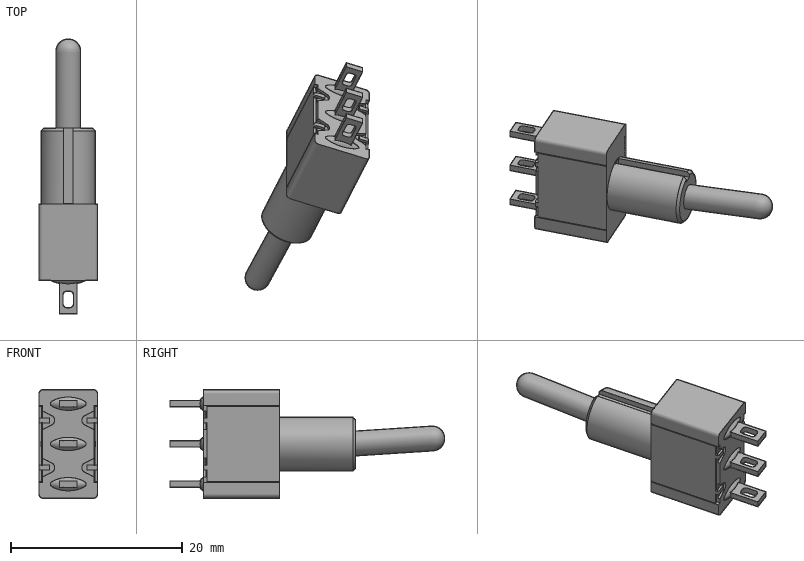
import cadquery as cq
import math


BODY_WIDTH = 6.86
BODY_LENGTH = 8.89
BODY_HEIGHT = 12.7
BODY_EDGE_RADIUS = 0.5
FRAME_FRONT_THICKNESS = 0.1
CHANNEL_DEPTH = 0.4
CHANNEL_HEIGHT = 9.0
FRAME_GAP = 0.1
SIDE_PLATE_THICKNESS = CHANNEL_DEPTH - FRAME_GAP
SIDE_PLATE_HEIGHT = CHANNEL_HEIGHT - 2 * FRAME_GAP
SIDE_PLATE_REAR = 0.4

TAB_SPACING = 5.53
TAB_WIDTH = 0.58
TAB_REACH = 1.25
WELL_DEPTH = SIDE_PLATE_THICKNESS
WELL_REACH = 1.84
WELL_TIP_RADIUS = 0.6
WELL_MOUTH = 2.2

BUSHING_DIAMETER = 6.35
BUSHING_LENGTH = 8.89
BUSHING_CHAMFER = 0.33
KEYWAY_WIDTH = 1.1
KEYWAY_DEPTH = 0.75
KEYWAY_FRONT_GAP = 0.1

LEVER_DIAMETER = 2.92
LEVER_TILT = 3.7
LEVER_PIVOT_Y = 16.9

OVERALL_LENGTH = 32.12
TERMINAL_SPACING = 4.7
TERMINAL_LENGTH = 3.93
TERMINAL_WIDTH = 2.05
TERMINAL_THICKNESS = 0.76
EYE_WIDTH = 1.18
EYE_LENGTH = 1.88
EYE_CORNER_RADIUS = 0.37
EYE_END_MARGIN = 0.75

BEAD_LENGTH = 4.2
BEAD_WIDTH = 1.56
BEAD_RISE = 0.5

HOUSING_LENGTH = BODY_LENGTH - FRAME_FRONT_THICKNESS
BUSHING_FRONT = BODY_LENGTH + BUSHING_LENGTH
SIDES = (-1, 1)


def block(x_range, y_range, z_range):
    """Axis-aligned box from its limits on each axis."""
    sizes = [high - low for low, high in (x_range, y_range, z_range)]
    corner = (x_range[0], y_range[0], z_range[0])
    return cq.Workplane("XY").box(*sizes, centered=False).translate(corner)


def centred(size, middle=0.0):
    """Limits of a span of the given size about its middle."""
    return (middle - size / 2, middle + size / 2)


def mirrored(shape):
    """The shape together with its mirror image across the YZ plane."""
    return shape.union(shape.mirror("YZ"))


def make_rounded_block(y_low, y_high):
    """Slice of the body outline, rounded at its four long edges."""
    return (
        cq.Workplane("XZ", origin=(0, y_low, 0))
        .rect(BODY_WIDTH, BODY_HEIGHT)
        .extrude(y_low - y_high)
        .edges("|Y")
        .fillet(BODY_EDGE_RADIUS)
    )


def make_housing():
    """Rounded housing with a shallow channel down each side for the frame."""
    channel = block(
        (-BODY_WIDTH / 2, -BODY_WIDTH / 2 + CHANNEL_DEPTH),
        (0, HOUSING_LENGTH),
        centred(CHANNEL_HEIGHT),
    )
    return make_rounded_block(0, HOUSING_LENGTH).cut(mirrored(channel))


def make_well(z):
    """Round-nosed wedge pocket in the terminal face, open to the -X channel."""
    mouth_x = -BODY_WIDTH / 2 + CHANNEL_DEPTH
    nose_x = -BODY_WIDTH / 2 + WELL_REACH
    arc_x = nose_x - WELL_TIP_RADIUS
    half_mouth = WELL_MOUTH / 2
    offset = arc_x - mouth_x
    corner_distance = math.hypot(offset, half_mouth)
    tangent_angle = math.atan2(half_mouth, -offset) - math.acos(WELL_TIP_RADIUS / corner_distance)
    tangent_x = arc_x + WELL_TIP_RADIUS * math.cos(tangent_angle)
    tangent_z = WELL_TIP_RADIUS * math.sin(tangent_angle)
    return (
        cq.Workplane("XZ")
        .moveTo(mouth_x, z - half_mouth)
        .lineTo(tangent_x, z - tangent_z)
        .threePointArc((nose_x, z), (tangent_x, z + tangent_z))
        .lineTo(mouth_x, z + half_mouth)
        .close()
        .extrude(-WELL_DEPTH)
    )


def make_side_plate():
    """Frame plate floating in the -X channel, joined to the front of the body."""
    outer_x = -BODY_WIDTH / 2
    return block(
        (outer_x, outer_x + SIDE_PLATE_THICKNESS),
        (SIDE_PLATE_REAR, HOUSING_LENGTH),
        centred(SIDE_PLATE_HEIGHT),
    )


def make_tab(z):
    """Tongue of the -X side plate, bent inward over the floor of its well."""
    outer_x = -BODY_WIDTH / 2
    bend_x = outer_x + SIDE_PLATE_THICKNESS
    bend_run = SIDE_PLATE_THICKNESS * math.sqrt(0.5)
    return (
        cq.Workplane("XY", origin=(0, 0, z))
        .moveTo(outer_x, SIDE_PLATE_REAR)
        .lineTo(outer_x, WELL_DEPTH)
        .threePointArc(
            (bend_x - bend_run, WELL_DEPTH - bend_run),
            (bend_x, 0),
        )
        .lineTo(outer_x + TAB_REACH, 0)
        .lineTo(outer_x + TAB_REACH, WELL_DEPTH)
        .lineTo(bend_x, WELL_DEPTH)
        .lineTo(bend_x, SIDE_PLATE_REAR)
        .close()
        .extrude(TAB_WIDTH / 2, both=True)
    )


def make_bushing():
    """Chamfered cylinder with a flat-bottomed keyway along its top."""
    cylinder = (
        cq.Workplane("XZ", origin=(0, BODY_LENGTH, 0))
        .circle(BUSHING_DIAMETER / 2)
        .extrude(-BUSHING_LENGTH)
        .faces(">Y")
        .chamfer(BUSHING_CHAMFER)
    )
    top = BUSHING_DIAMETER / 2
    keyway = block(
        centred(KEYWAY_WIDTH),
        (BODY_LENGTH + KEYWAY_FRONT_GAP, BUSHING_FRONT),
        (top - KEYWAY_DEPTH, top),
    )
    return cylinder.cut(keyway)


def make_lever():
    """Round rod with a hemispherical end, tilted up about its pivot."""
    radius = LEVER_DIAMETER / 2
    tilt = math.radians(LEVER_TILT)
    tip_y = OVERALL_LENGTH - TERMINAL_LENGTH
    rod_length = (tip_y - radius - LEVER_PIVOT_Y) / math.cos(tilt)
    profile = (
        cq.Workplane("XY")
        .lineTo(radius, 0)
        .lineTo(radius, rod_length)
        .radiusArc((0, rod_length + radius), -radius)
        .close()
    )
    upright = profile.revolve(360, (0, 0), (0, 1))
    tilted = upright.rotate((0, 0, 0), (1, 0, 0), LEVER_TILT)
    return tilted.translate((0, LEVER_PIVOT_Y, 0))


def make_terminal(z):
    """Flat solder lug with a rounded eye."""
    lug = block(centred(TERMINAL_WIDTH), (-TERMINAL_LENGTH, 0), centred(TERMINAL_THICKNESS, z))
    eye_y = -TERMINAL_LENGTH + EYE_END_MARGIN + EYE_LENGTH / 2
    eye = (
        cq.Workplane("XY")
        .box(EYE_WIDTH, EYE_LENGTH, TERMINAL_THICKNESS)
        .edges("|Z")
        .fillet(EYE_CORNER_RADIUS)
        .translate((0, eye_y, z))
    )
    return lug.cut(eye)


def make_bead(z):
    """Cap of a spindle whose axis lies along X below the terminal face."""
    half_length = BEAD_LENGTH / 2
    half_width = BEAD_WIDTH / 2
    middle_radius = (half_width**2 + BEAD_RISE**2) / (2 * BEAD_RISE)
    axis_depth = middle_radius - BEAD_RISE
    spindle = (
        cq.Workplane("XY")
        .moveTo(-half_length, 0)
        .lineTo(-half_length, -axis_depth)
        .threePointArc((0, -middle_radius), (half_length, -axis_depth))
        .lineTo(half_length, 0)
        .close()
        .revolve(360, (0, 0), (1, 0))
        .translate((0, axis_depth, z))
    )
    outside = block(centred(BEAD_LENGTH), (-BEAD_RISE * 2, 0), centred(BEAD_WIDTH * 2, z))
    return spindle.intersect(outside)


def make_frame_front():
    """Thin frame plate that covers the front of the housing."""
    return make_rounded_block(HOUSING_LENGTH, BODY_LENGTH)


result = make_housing()
for side in SIDES:
    result = result.cut(mirrored(make_well(side * TAB_SPACING / 2)))
result = result.union(mirrored(make_side_plate()))
for side in SIDES:
    result = result.union(mirrored(make_tab(side * TAB_SPACING / 2)))
for row in (-1, 0, 1):
    terminal_z = row * TERMINAL_SPACING
    result = result.union(make_bead(terminal_z)).union(make_terminal(terminal_z))

front_assembly = make_frame_front().union(make_bushing()).union(make_lever())
result = result.union(front_assembly, clean=False)